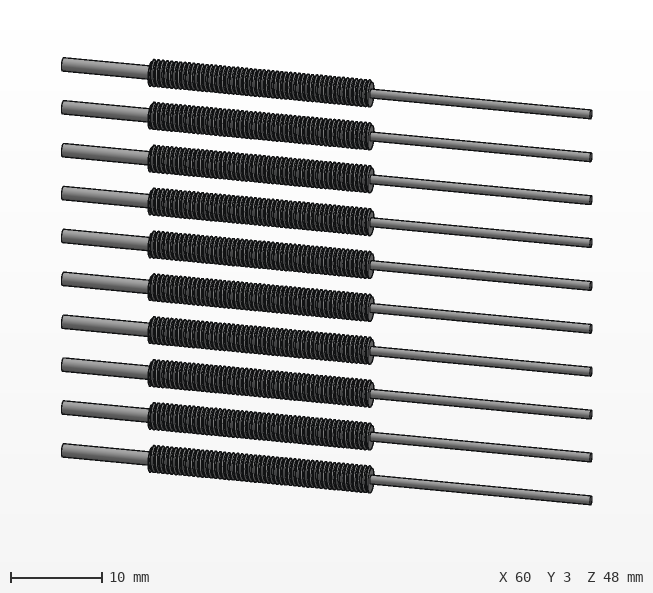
import cadquery as cq
import math

screw_count = 10
screw_spacing = 5.0
screw_length = 60.0
shank_diameter = 1.5
shank_length = 10.0
tail_diameter = 1.0
tail_length = 25.0

thread_diameter = 3.0
thread_pitch = 0.5
flank_angle = math.radians(30)
spare_turns = 2
crest_width = 0.07
thread_depth = 0.25

shank_start = -screw_length / 2
thread_start = shank_start + shank_length
thread_end = screw_length / 2 - tail_length
thread_length = thread_end - thread_start
crest_radius = thread_diameter / 2
trimming_radius = 2 * crest_radius
flank_run = thread_depth * math.tan(flank_angle)
root_width = thread_pitch - crest_width - 2 * flank_run
root_radius = crest_radius - thread_depth


def rod(x_start, x_end, radius):
    """Round bar on the X axis."""
    return cq.Workplane("YZ").workplane(offset=x_start).circle(radius).extrude(x_end - x_start)


def helix_turn(radius, height):
    """One right-hand turn about Z, starting on +X at the given height."""
    turn = cq.Wire.makeHelix(thread_pitch, thread_pitch, radius)
    return turn.Edges()[0].translate(cq.Vector(0, 0, height))


def axis_turn(height):
    return cq.Edge.makeLine(cq.Vector(0, 0, height), cq.Vector(0, 0, height + thread_pitch))


def thread_solid():
    """Overlong thread about Z, to be trimmed flat at both ends.

    Each turn is skinned by helical strips: root, flank, crest, flank. Both ends are closed
    by a helicoid down to the axis and a flat face holding one pitch of the axial profile.
    """
    profile = [
        (root_radius, 0),
        (root_radius, root_width),
        (crest_radius, root_width + flank_run),
        (crest_radius, thread_pitch - flank_run),
        (root_radius, thread_pitch),
    ]
    turn_count = math.ceil(thread_length / thread_pitch) + spare_turns
    top = turn_count * thread_pitch

    faces = []
    for turn in range(turn_count):
        base = turn * thread_pitch
        edges = [helix_turn(radius, base + height) for radius, height in profile]
        for lower, upper in zip(edges, edges[1:]):
            faces.append(cq.Face.makeRuledSurface(lower, upper))

    for height in (0, top):
        faces.append(cq.Face.makeRuledSurface(axis_turn(height), helix_turn(root_radius, height)))
        outline = [(0, 0), *profile, (0, thread_pitch)]
        corners = [cq.Vector(radius, 0, height + rise) for radius, rise in outline]
        faces.append(cq.Face.makeFromWires(cq.Wire.makePolygon(corners, close=True)))

    return cq.Workplane(obj=cq.Solid.makeSolid(cq.Shell.makeShell(faces)))


def threaded_rod():
    thread = thread_solid()
    thread = thread.rotate((0, 0, 0), (1, 1, 1), 120)
    thread = thread.rotate((0, 0, 0), (1, 0, 0), 90)
    thread = thread.translate((thread_start - thread_pitch - root_width / 2, 0, 0))
    return thread.intersect(rod(thread_start, thread_end, trimming_radius))


def stepped_screw():
    shank = rod(shank_start, thread_start, shank_diameter / 2)
    tail = rod(thread_end, screw_length / 2, tail_diameter / 2)
    return threaded_rod().union(shank).union(tail)


screw = stepped_screw()
screws = []
for index in range(screw_count):
    height = (index - (screw_count - 1) / 2) * screw_spacing
    screws.append(screw.translate((0, 0, height)).solids().val())

result = cq.Compound.makeCompound(screws)